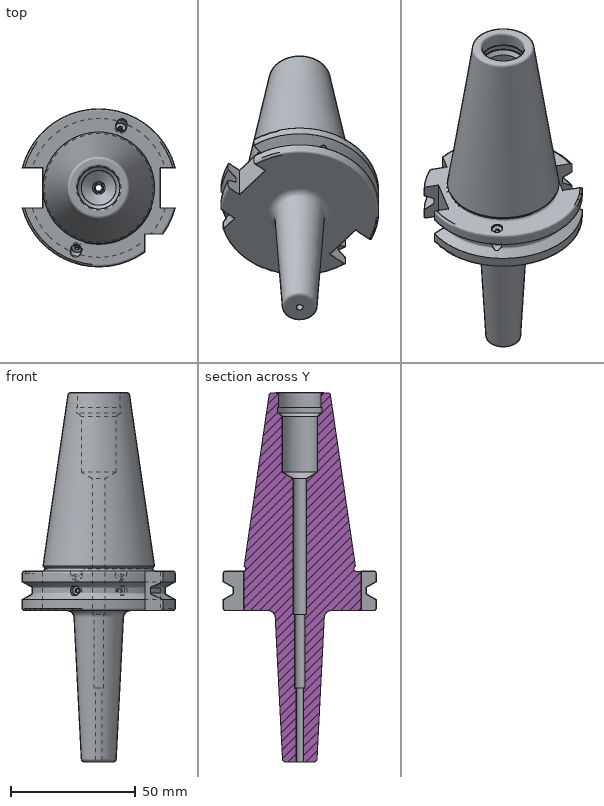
import cadquery as cq
import math

TOTAL_HEIGHT = 148.4
GAUGE_Z = 80.0
GAUGE_RADIUS = 22.3
TAPER_SLOPE = 7 / 48

TAPER_LOW_Z = 78.8
TOP_ROUND = 1.0
NECK_RADIUS = 21.8
NECK_CHAMFER_HEIGHT = 0.7
NECK_FILLET = 0.9

FLANGE_RADIUS = 31.8
FLANGE_TOP_Z = 76.7
FLANGE_HEIGHT = 15.9
FLANGE_ROUND = 0.9
GROOVE_DROP = 7.9
GROOVE_OUTER_WIDTH = 7.1
GROOVE_ROOT_WIDTH = 2.7
GROOVE_ROOT_RADIUS = 27.9
GROOVE_ROOT_FILLET = 0.6

NOSE_TOP_RADIUS = 10.0
NOSE_TIP_RADIUS = 7.0
NOSE_BLEND = 3.0
NOSE_TIP_ROUND = 1.3

BORE_RADIUS = 8.5
BORE_DEPTH = 8.2
RELIEF_RADIUS = 8.9
RELIEF_START_DEPTH = 6.0
THREAD_RADIUS = 7.0
THREAD_END_DEPTH = 31.9
DRILL_POINT_ANGLE = 118

COOLANT_RADIUS = 2.5
COOLANT_END_DEPTH = 89.0
COOLANT_NECK_RADIUS = 2.0
COOLANT_NECK_DEPTH = 118.7
COOLANT_OUTLET_RADIUS = 1.3

SLOT_WIDTH = 16.0
LEFT_SLOT_X = -22.5
RIGHT_SLOT_X = 24.8
NOTCH_X = 18.5
NOTCH_Y = -18.5

PORT_ANGLES = (70, 250)
FACE_PORT_RADIUS = 2.2
FACE_PORT_CIRCLE_RADIUS = 26.9
FACE_PORT_TILT = 30
GROOVE_PORT_RADIUS = 2.0
PLUG_RECESS = 2.7
PLUG_SOCKET_SIZE = 2.0
PLUG_SOCKET_DEPTH = 1.5

FLANGE_LOW_Z = FLANGE_TOP_Z - FLANGE_HEIGHT
GROOVE_Z = FLANGE_TOP_Z - GROOVE_DROP


def taper_radius(z):
    return GAUGE_RADIUS - (z - GAUGE_Z) * TAPER_SLOPE


def revolve_profile(points):
    """Revolve a closed outline of (radius, z) points about the Z axis."""
    return cq.Workplane("XZ").polyline(points).close().revolve(360, (0, 0), (0, 1))


def quarter_fillet(sketch, start_radius, start_z, size, rise):
    """Continue an outline with a concave quarter arc opening outward; rise is +1 or -1 along Z."""
    mid = size * (1 - math.sqrt(0.5))
    return sketch.threePointArc(
        (start_radius + mid, start_z + rise * (size - mid)),
        (start_radius + size, start_z + rise * size),
    )


def make_shank():
    sketch = (
        cq.Workplane("XZ")
        .moveTo(0, FLANGE_TOP_Z)
        .lineTo(0, TOTAL_HEIGHT)
        .lineTo(taper_radius(TOTAL_HEIGHT), TOTAL_HEIGHT)
        .lineTo(taper_radius(TAPER_LOW_Z), TAPER_LOW_Z)
        .lineTo(NECK_RADIUS, TAPER_LOW_Z - NECK_CHAMFER_HEIGHT)
        .lineTo(NECK_RADIUS, FLANGE_TOP_Z + NECK_FILLET)
    )
    sketch = quarter_fillet(sketch, NECK_RADIUS, FLANGE_TOP_Z + NECK_FILLET, NECK_FILLET, -1)
    return sketch.close().revolve(360, (0, 0), (0, 1))


def make_flange():
    disc = cq.Workplane("XY").workplane(offset=FLANGE_LOW_Z).circle(FLANGE_RADIUS).extrude(FLANGE_HEIGHT)
    disc = disc.edges().fillet(FLANGE_ROUND)
    half_root = GROOVE_ROOT_WIDTH / 2
    half_outer = GROOVE_OUTER_WIDTH / 2
    groove = revolve_profile([
        (GROOVE_ROOT_RADIUS, GROOVE_Z - half_root),
        (FLANGE_RADIUS, GROOVE_Z - half_outer),
        (FLANGE_RADIUS, GROOVE_Z + half_outer),
        (GROOVE_ROOT_RADIUS, GROOVE_Z + half_root),
    ])
    root_corners = cq.selectors.RadiusNthSelector(0)
    groove = groove.edges(root_corners).fillet(GROOVE_ROOT_FILLET)
    return disc.cut(groove)


def make_nose():
    blend_low_z = FLANGE_LOW_Z - NOSE_BLEND
    sketch = cq.Workplane("XZ").lineTo(NOSE_TIP_RADIUS, 0).lineTo(NOSE_TOP_RADIUS, blend_low_z)
    sketch = quarter_fillet(sketch, NOSE_TOP_RADIUS, blend_low_z, NOSE_BLEND, 1)
    nose = sketch.lineTo(0, FLANGE_LOW_Z).close().revolve(360, (0, 0), (0, 1))
    return nose.faces("<Z").edges().fillet(NOSE_TIP_ROUND)


def make_bore():
    lead_in = BORE_RADIUS - THREAD_RADIUS
    drill_point = (THREAD_RADIUS - COOLANT_RADIUS) / math.tan(math.radians(DRILL_POINT_ANGLE / 2))
    steps = [
        (0, 0),
        (BORE_RADIUS, 0),
        (BORE_RADIUS, RELIEF_START_DEPTH),
        (RELIEF_RADIUS, RELIEF_START_DEPTH),
        (RELIEF_RADIUS, BORE_DEPTH),
        (BORE_RADIUS, BORE_DEPTH),
        (THREAD_RADIUS, BORE_DEPTH + lead_in),
        (THREAD_RADIUS, THREAD_END_DEPTH),
        (COOLANT_RADIUS, THREAD_END_DEPTH + drill_point),
        (COOLANT_RADIUS, COOLANT_END_DEPTH),
        (COOLANT_NECK_RADIUS, COOLANT_END_DEPTH),
        (COOLANT_NECK_RADIUS, COOLANT_NECK_DEPTH),
        (COOLANT_OUTLET_RADIUS, COOLANT_NECK_DEPTH),
        (COOLANT_OUTLET_RADIUS, TOTAL_HEIGHT),
        (0, TOTAL_HEIGHT),
    ]
    return revolve_profile([(radius, TOTAL_HEIGHT - depth) for radius, depth in steps])


def flange_block(x_min, x_max, y_min, y_max):
    """Rectangular cutter from the flange bottom up to the foot of the taper."""
    block = cq.Workplane("XY").box(x_max - x_min, y_max - y_min, TAPER_LOW_Z - FLANGE_LOW_Z, centered=False)
    return block.translate((x_min, y_min, FLANGE_LOW_Z))


def plugged_port(radius, mouth, inward):
    """Cutter for a port closed by a recessed plug with a hex socket; it starts outside the mouth."""
    plane = cq.Plane(origin=mouth, xDir=(0, 1, 0), normal=inward)
    recess = cq.Workplane(plane).circle(radius).extrude(PLUG_RECESS, both=True)
    socket = cq.Workplane(plane).polygon(6, PLUG_SOCKET_SIZE).extrude(PLUG_RECESS + PLUG_SOCKET_DEPTH)
    return recess.union(socket)


def make_ports():
    """Face port and groove port pairs, first laid out along +X and then turned to their angles."""
    tilt = math.radians(FACE_PORT_TILT)
    face_port = plugged_port(
        FACE_PORT_RADIUS, (FACE_PORT_CIRCLE_RADIUS, 0, FLANGE_TOP_Z), (-math.sin(tilt), 0, -math.cos(tilt))
    )
    groove_port = plugged_port(GROOVE_PORT_RADIUS, (GROOVE_ROOT_RADIUS, 0, GROOVE_Z), (-1, 0, 0))
    pair = face_port.union(groove_port)
    ports = cq.Workplane("XY")
    for angle in PORT_ANGLES:
        ports = ports.add(pair.rotate((0, 0, 0), (0, 0, 1), angle))
    return ports.combine()


half_slot = SLOT_WIDTH / 2
result = make_flange().union(make_shank()).union(make_nose())
result = result.cut(flange_block(-FLANGE_RADIUS, LEFT_SLOT_X, -half_slot, half_slot))
result = result.cut(flange_block(RIGHT_SLOT_X, FLANGE_RADIUS, -half_slot, half_slot))
result = result.cut(flange_block(NOTCH_X, FLANGE_RADIUS, -FLANGE_RADIUS, NOTCH_Y))
result = result.cut(make_ports()).cut(make_bore())
result = result.faces(">Z").edges().fillet(TOP_ROUND)